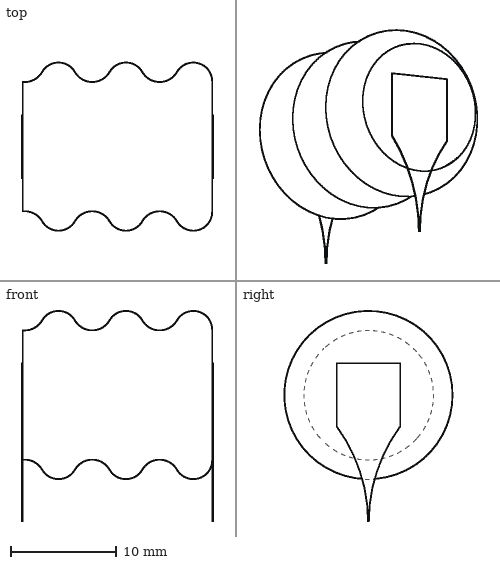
import cadquery as cq
import math

body_length = 18.0
crest_radius = 8.0
valley_radius = 12.3 / 2
bead_radius = 1.8
ring_pitch = 6.4
ring_count = 3

plate_thickness = 0.1
plate_width = 6.0
plate_top = 3.0
plate_shoulder = -3.0
plate_tip = -12.0
tip_width = 0.1

bead_center_radius = crest_radius - bead_radius
last_crest_x = body_length - bead_radius
first_crest_x = last_crest_x - (ring_count - 1) * ring_pitch
half_pitch = ring_pitch / 2

center_drop = bead_center_radius - valley_radius
groove_radius = (half_pitch**2 + center_drop**2 - bead_radius**2) / (2 * (bead_radius + center_drop))
groove_center_radius = valley_radius + groove_radius

blend_share = bead_radius / (bead_radius + groove_radius)
blend_offset = half_pitch * blend_share
blend_radius = bead_center_radius + (groove_center_radius - bead_center_radius) * blend_share


def valley_radius_at(offset):
    """Radius of the valley arc at an axial offset from its deepest point."""
    return groove_center_radius - math.sqrt(groove_radius**2 - offset**2)


def make_body():
    valley_start_x = first_crest_x - half_pitch
    mid_arc_offset = (half_pitch - blend_offset) / 2
    profile = (
        cq.Workplane("XY")
        .lineTo(0, valley_radius)
        .lineTo(valley_start_x, valley_radius)
        .threePointArc(
            (valley_start_x + mid_arc_offset, valley_radius_at(mid_arc_offset)),
            (first_crest_x - blend_offset, blend_radius),
        )
    )
    for ring in range(ring_count - 1):
        crest_x = first_crest_x + ring * ring_pitch
        profile = profile.threePointArc(
            (crest_x, crest_radius),
            (crest_x + blend_offset, blend_radius),
        ).threePointArc(
            (crest_x + half_pitch, valley_radius),
            (crest_x + ring_pitch - blend_offset, blend_radius),
        )
    profile = (
        profile.threePointArc((last_crest_x, crest_radius), (body_length, bead_center_radius))
        .lineTo(body_length, 0)
        .close()
    )
    return profile.revolve(360, (0, 0, 0), (1, 0, 0))


def make_plate(start_x):
    """Terminal plate whose sides curve to a narrow blunt point, vertical at the tip."""
    half_width = plate_width / 2
    tip_half_width = tip_width / 2
    side_inset = half_width - tip_half_width
    taper_height = plate_shoulder - plate_tip
    side_radius = (side_inset**2 + taper_height**2) / (2 * side_inset)
    middle_height = taper_height / 2
    middle_half_width = tip_half_width + side_radius - math.sqrt(side_radius**2 - middle_height**2)
    middle_z = plate_tip + middle_height
    return (
        cq.Workplane("YZ", origin=(start_x, 0, 0))
        .moveTo(-half_width, plate_top)
        .lineTo(half_width, plate_top)
        .lineTo(half_width, plate_shoulder)
        .threePointArc((middle_half_width, middle_z), (tip_half_width, plate_tip))
        .lineTo(-tip_half_width, plate_tip)
        .threePointArc((-middle_half_width, middle_z), (-half_width, plate_shoulder))
        .close()
        .extrude(plate_thickness)
    )


body = make_body()
plates = [make_plate(start_x) for start_x in (-plate_thickness, body_length)]

result = cq.Compound.makeCompound([body.val(), *[plate.val() for plate in plates]])